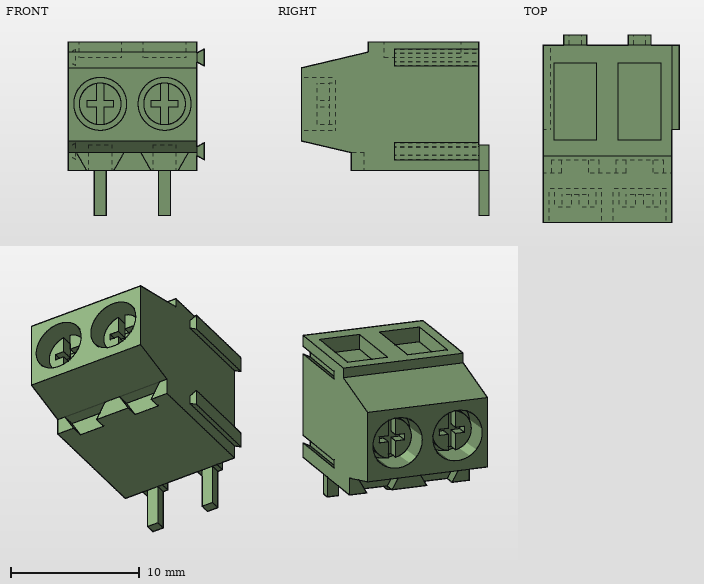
import cadquery as cq


width = 10.0
height = 10.0
depth = 13.8
pole_count = 2
pitch = width / pole_count
pole_centers = [(i + 0.5) * pitch for i in range(pole_count)]

top_length = 8.61
top_step = 0.79
nose_top = 7.99
nose_bottom = 2.29
foot_length = 9.93
foot_height = 1.39

pocket_width = 3.33
pocket_length = 5.99
pocket_setback = 1.4
pocket_depth = 1.21

slot_top_width = 3.68
slot_bottom_width = 2.1
slot_depth = 1.02

rail_centers = [1.5, 8.79]
rail_length = 6.57
rail_projection = 0.6
rail_neck = 0.7
rail_tip = 1.35
groove_mouth = 0.61
groove_floor = 1.25

screw_z = 5.18
screw_radius = 1.62
bore_radius = 2.06
head_recess = 1.21
screw_length = 1.46
bore_depth = head_recess + screw_length
drive_depth = 1.0
upright_slot_width = 0.6
level_slot_width = 0.5
level_slot_length = 2.07

plate_width = 1.8
plate_height = 2.0
leg_width = 0.95
leg_length = 3.5
pin_thickness = 0.8


def front_box(x, y_front, z, size_x, size_y, size_z):
    """Box centred on x and z that runs back from y_front."""
    box = cq.Workplane("XY").box(size_x, size_y, size_z, centered=(True, False, True))
    return box.translate((x, y_front, z))


def dovetail(x, z, root, tip):
    """Bar along the side from the back, growing in +X from root height to tip height."""
    outline = [
        (x, z - root / 2),
        (x + rail_projection, z - tip / 2),
        (x + rail_projection, z + tip / 2),
        (x, z + root / 2),
    ]
    return cq.Workplane("XZ").polyline(outline).close().extrude(rail_length)


def housing_block():
    outline = [
        (0, 0),
        (-foot_length, 0),
        (-foot_length, foot_height),
        (-depth, nose_bottom),
        (-depth, nose_top),
        (-top_length, height - top_step),
        (-top_length, height),
        (0, height),
    ]
    return cq.Workplane("YZ").polyline(outline).close().extrude(width)


def top_pocket(x):
    pocket = cq.Workplane("XY").box(pocket_width, pocket_length, pocket_depth, centered=(True, False, False))
    return pocket.translate((x, -pocket_setback - pocket_length, height - pocket_depth))


def foot_slot(x):
    outline = [
        (x - slot_bottom_width / 2, 0),
        (x + slot_bottom_width / 2, 0),
        (x + slot_top_width / 2, foot_height),
        (x - slot_top_width / 2, foot_height),
    ]
    slot = cq.Workplane("XZ").polyline(outline).close().extrude(slot_depth)
    return slot.translate((0, slot_depth - foot_length, 0))


def screw_bore(x):
    """Blind round bore from the housing front, wider than the screw."""
    bore = cq.Workplane("XZ").circle(bore_radius).extrude(-bore_depth)
    return bore.translate((x, -depth, screw_z))


def make_housing():
    body = housing_block()
    for z in rail_centers:
        body = body.union(dovetail(width, z, rail_neck, rail_tip))
        body = body.cut(dovetail(0, z, groove_mouth, groove_floor))
    for x in pole_centers:
        body = body.cut(top_pocket(x)).cut(foot_slot(x)).cut(screw_bore(x))
    return body


def make_screw(x):
    """Round screw standing on the bore floor, clear of the bore wall.

    The upright slot of its cross drive runs right across the head.
    """
    face_y = head_recess - depth
    screw = cq.Workplane("XZ").circle(screw_radius).extrude(-screw_length).translate((x, face_y, screw_z))
    upright_slot = front_box(x, face_y, screw_z, upright_slot_width, drive_depth, 2 * screw_radius)
    level_slot = front_box(x, face_y, screw_z, level_slot_length, drive_depth, level_slot_width)
    return screw.cut(upright_slot).cut(level_slot)


def make_pin(x):
    """Wide plate on the housing back with a narrow leg below the housing."""
    plate = front_box(x, 0, plate_height / 2, plate_width, pin_thickness, plate_height)
    leg = front_box(x, 0, -leg_length / 2, leg_width, pin_thickness, leg_length)
    return plate.union(leg)


housing = make_housing()
screws = [make_screw(x) for x in pole_centers]
pins = [make_pin(x) for x in pole_centers]

result = cq.Compound.makeCompound(
    [housing.val()] + [screw.val() for screw in screws] + [pin.val() for pin in pins]
)